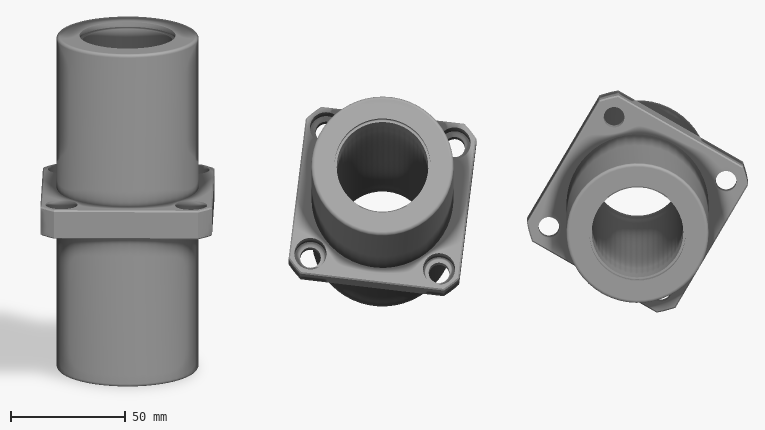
import cadquery as cq

length = 151
sleeve_diameter = 62.0
bore_diameter = 40.0
sleeve_edge_radius = 1.4

lip_diameter = 42.0
lip_thickness = 2.1
groove_diameter = 44.0
recess_depth = 2.9

flange_thickness = 13.0
flange_side = 75.0
flange_corner_diameter = 98.0
flange_edge_chamfer = 0.6

hole_diameter = 9
counterbore_diameter = 14.0
counterbore_depth = 8.2
hole_circle_radius = 40.0
hole_count = 4


def cylinder(diameter, height, bottom):
    return cq.Workplane("XY").workplane(offset=bottom).circle(diameter / 2).extrude(height)


def make_sleeve():
    sleeve = cylinder(sleeve_diameter, length, -length / 2)
    return sleeve.faces("<Z or >Z").edges().fillet(sleeve_edge_radius)


def make_flange():
    square = (
        cq.Workplane("XY")
        .rect(flange_side, flange_side)
        .extrude(flange_thickness / 2, both=True)
        .rotate((0, 0, 0), (0, 0, 1), 45)
    )
    corner_disc = cylinder(flange_corner_diameter, flange_thickness, -flange_thickness / 2)
    flange = square.intersect(corner_disc)
    return flange.faces("<Z or >Z").edges().chamfer(flange_edge_chamfer)


def make_undercut_recess():
    """Recess volume at the upper end of the bore."""
    floor = length / 2 - recess_depth
    lip_opening = cylinder(lip_diameter, recess_depth, floor)
    groove = cylinder(groove_diameter, recess_depth - lip_thickness, floor)
    return lip_opening.union(groove)


def cut_bore(body):
    upper_recess = make_undercut_recess()
    lower_recess = upper_recess.mirror("XY")
    bore = cylinder(bore_diameter, length, -length / 2)
    return body.cut(bore).cut(upper_recess).cut(lower_recess)


def cut_mounting_holes(flange):
    return (
        flange.faces(">Z")
        .workplane()
        .polarArray(hole_circle_radius, 0, 360, hole_count)
        .cboreHole(hole_diameter, counterbore_diameter, counterbore_depth)
    )


drilled_flange = cut_mounting_holes(make_flange())
result = cut_bore(make_sleeve().union(drilled_flange))